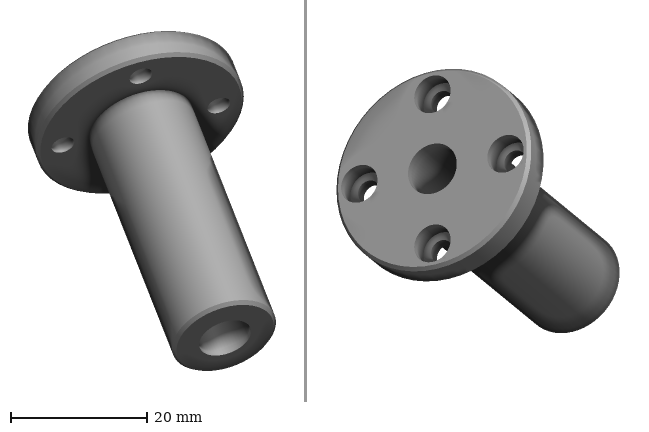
import cadquery as cq

total_length = 46.0
flange_diameter = 32.0
flange_thickness = 5.0
shaft_diameter = flange_diameter / 2
bore_diameter = shaft_diameter / 2
edge_chamfer = 0.5

screw_count = 4
screw_circle_diameter = 24.0
screw_hole_diameter = 3.5
counterbore_diameter = 6.0
counterbore_depth = 3.1


def make_flange():
    """Disc with both rims chamfered, its outer face at X = 0."""
    disc = cq.Workplane("YZ").circle(flange_diameter / 2).extrude(flange_thickness)
    return disc.edges().chamfer(edge_chamfer)


def make_shaft():
    """Full-length cylinder with its free end chamfered."""
    cylinder = cq.Workplane("YZ").circle(shaft_diameter / 2).extrude(total_length)
    return cylinder.faces(">X").edges().chamfer(edge_chamfer)


def cut_bore(body):
    """Central bore through the whole length."""
    return body.cut(cq.Workplane("YZ").circle(bore_diameter / 2).extrude(total_length))


def cut_screw_holes(body):
    """Screw holes through the flange, counterbored from its outer face."""
    centers = cq.Workplane("YZ").polarArray(screw_circle_diameter / 2, 0, 360, screw_count)
    holes = centers.circle(screw_hole_diameter / 2).extrude(flange_thickness)
    counterbores = centers.circle(counterbore_diameter / 2).extrude(counterbore_depth)
    return body.cut(holes).cut(counterbores)


result = cut_screw_holes(cut_bore(make_flange().union(make_shaft())))